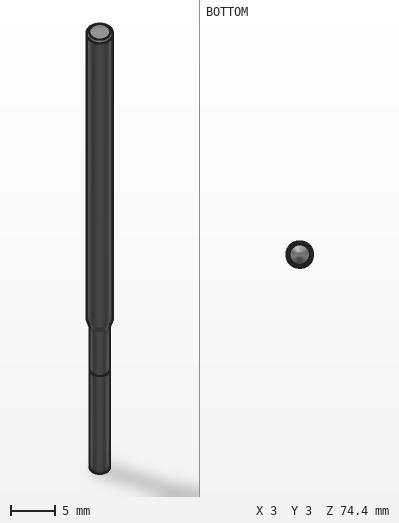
import cadquery as cq
import math

overall_length = 74.43
shank_diameter = 3.0
drill_diameter = 2.35
point_angle = 140.0
cutting_length = 17.08
neck_end = 24.55
taper_end = 25.7
top_chamfer = 0.3

shank_radius = shank_diameter / 2
drill_radius = drill_diameter / 2
point_height = drill_radius / math.tan(math.radians(point_angle / 2))


def revolve_about_z(profile_points):
    """Revolve a closed (radius, height) outline a full turn about the Z axis."""
    return cq.Workplane("XZ").polyline(profile_points).close().revolve(360, (0, 0), (0, 1))


def make_cutting_part():
    """Plain cylinder with a conical point, its tip at the origin."""
    return revolve_about_z([
        (0, 0),
        (drill_radius, point_height),
        (drill_radius, cutting_length),
        (0, cutting_length),
    ])


def make_shank():
    """Neck, taper and full-diameter shank with a chamfered top edge."""
    return revolve_about_z([
        (0, cutting_length),
        (drill_radius, cutting_length),
        (drill_radius, neck_end),
        (shank_radius, taper_end),
        (shank_radius, overall_length - top_chamfer),
        (shank_radius - top_chamfer, overall_length),
        (0, overall_length),
    ])


cutting_part = make_cutting_part()
shank = make_shank()

result = cq.Compound.makeCompound([cutting_part.val(), shank.val()])